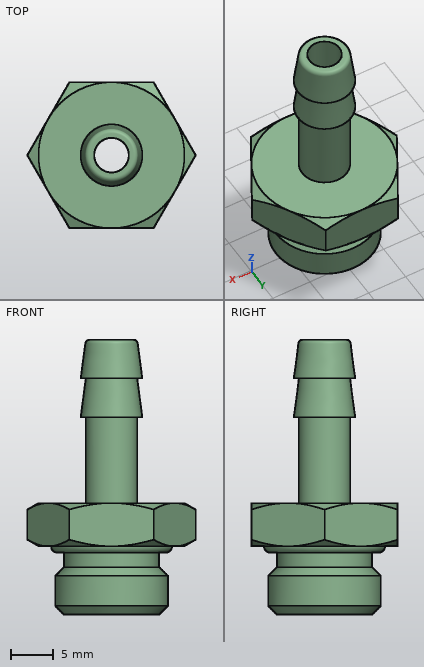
import cadquery as cq
import math

total_height = 32.0
bore_diameter = 4.0

thread_diameter = 13.15
neck_diameter = 11.1
thread_top_z = 4.5

hex_width = 17.0
hex_bottom_z = 7.97
hex_height = 5.02
hex_chamfer_angle = 30.0

stem_diameter = 6.0
barb_diameter = 7.2
barb_height = 4.5
barb_count = 2
tip_round = 0.5

seal_section_diameter = 1.5

hex_top_z = hex_bottom_z + hex_height
hex_corner_diameter = hex_width / math.cos(math.radians(30))
hex_corner_drop = (hex_corner_diameter - hex_width) / 2 * math.tan(math.radians(hex_chamfer_angle))
thread_chamfer = (thread_diameter - neck_diameter) / 2
seal_section_radius = seal_section_diameter / 2
seal_center_radius = neck_diameter / 2 + seal_section_radius


def cylinder(diameter, bottom_z, top_z):
    return cq.Workplane("XY").workplane(offset=bottom_z).circle(diameter / 2).extrude(top_z - bottom_z)


def revolve_profile(points):
    """Turn a closed outline of (radius, z) points about the Z axis."""
    return cq.Workplane("XZ").polyline(points).close().revolve(360, (0, 0), (0, 1))


def make_threaded_end():
    """Thread with a 45 degree chamfer at both ends, joined to the hexagon by the neck."""
    neck_radius = neck_diameter / 2
    thread_radius = thread_diameter / 2
    return revolve_profile([
        (0, 0),
        (neck_radius, 0),
        (thread_radius, thread_chamfer),
        (thread_radius, thread_top_z),
        (neck_radius, thread_top_z + thread_chamfer),
        (neck_radius, hex_bottom_z),
        (0, hex_bottom_z),
    ])


def make_hexagon():
    """Hexagon whose corners are turned down to a cone at the top and bottom."""
    prism = (
        cq.Workplane("XY").workplane(offset=hex_bottom_z)
        .polygon(6, hex_corner_diameter).extrude(hex_height)
    )
    face_radius = hex_width / 2
    corner_radius = hex_corner_diameter / 2
    turned_envelope = revolve_profile([
        (0, hex_bottom_z),
        (face_radius, hex_bottom_z),
        (corner_radius, hex_bottom_z + hex_corner_drop),
        (corner_radius, hex_top_z - hex_corner_drop),
        (face_radius, hex_top_z),
        (0, hex_top_z),
    ])
    return prism.intersect(turned_envelope)


def make_barb(bottom_z):
    """Cone that narrows upward to the stem diameter."""
    return revolve_profile([
        (0, bottom_z),
        (barb_diameter / 2, bottom_z),
        (stem_diameter / 2, bottom_z + barb_height),
        (0, bottom_z + barb_height),
    ])


def make_hose_tail():
    """Plain stem with barbs stacked down from a rounded tip."""
    lowest_barb_z = total_height - barb_count * barb_height
    tail = cylinder(stem_diameter, hex_top_z, lowest_barb_z)
    for index in range(barb_count):
        tail = tail.union(make_barb(lowest_barb_z + index * barb_height))
    return tail.faces(">Z").edges().fillet(tip_round)


def make_seal():
    return (
        cq.Workplane("XZ").center(seal_center_radius, hex_bottom_z)
        .circle(seal_section_radius)
        .revolve(360, (-seal_center_radius, 0), (-seal_center_radius, 1))
    )


def make_fitting(seal):
    """Hose fitting with a through bore and a groove that matches the seal."""
    blank = make_threaded_end().union(make_hexagon()).union(make_hose_tail())
    bore = cylinder(bore_diameter, 0, total_height)
    return blank.cut(bore).cut(seal)


seal = make_seal()
fitting = make_fitting(seal)

result = cq.Compound.makeCompound([*fitting.solids().vals(), *seal.solids().vals()])